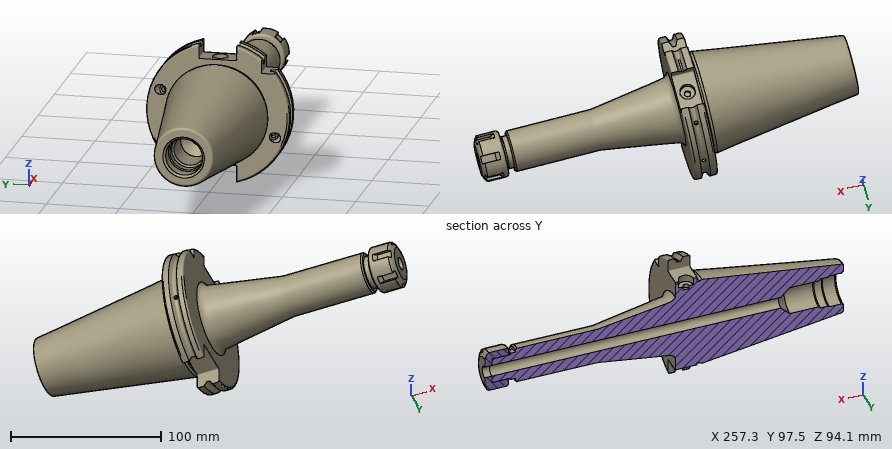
import cadquery as cq
import math


taper_length = 101.6
taper_large_radius = 35.0
taper_slope = 7 / 48
taper_small_radius = taper_large_radius - taper_slope * taper_length
taper_end_fillet = 1.8
relief_start = 103.5
relief_radius = 34.0
flange_start = 105.0
flange_end = 120.7
flange_radius = 97.5 / 2
flange_rim_fillet = 1.3

groove_center = 113.0
groove_width = 6.0
groove_floor_width = 2.3
groove_floor_radius = 45.5
groove_floor_fillet = 0.9

slot_width = 25.7
slot_corner_fillet = 0.8
upper_slot_floor = 37.5
lower_slot_floor = 35.3
notch_offset = 29.9
chip_hole_radius = 5.1
chip_hole_depth = 5.1
chip_pilot_radius = 2.0
chip_pilot_depth = 7.7
face_hole_radius = 3.3
face_hole_depth = 3.5
face_pilot_radius = 1.8
face_pilot_depth = 6.7
face_hole_offset = 41.7
face_hole_tilt = 30
face_hole_angles = (20, 200)
groove_hole_radius = 1.3
groove_hole_depth = 2.5
hole_run_out = 2.5
groove_hole_angles = (20, 60, 200)

neck_start = 125.0
neck_start_radius = 22.1
neck_root_radius = 25.5
shank_start = 176.5
shank_radius = 28.0 / 2
neck_blend_radius = 12.9
shank_end = 235.2
shank_chamfer = 1.0

collar_radius = 11.0
collar_end = 238.5
spigot_radius = 10.0
spigot_end = 252.2

through_radius = 8.5 / 2
mouth_radius = 14.2
counterbore_radius = 12.5
counterbore_depth = 10.3
thread_radius = 11.8
thread_start = 11.3
thread_end = 16.7
core_radius = 10.5
core_start = 18.0
core_depth = 38.5
drill_tip_length = 6.5

nut_start = 239.8
nut_end = 257.3
nut_radius = 31.7 / 2
nut_back_fillet = 2.0
nut_face_radius = 11.0
nut_shoulder_x = 255.8
nut_shoulder_radius = 14.5
nut_bevel_start = 254.5
nut_slot_count = 6
nut_slot_angle = 12
nut_slot_width = 5.1
nut_slot_floor_radius = 13.6
nut_slot_start = 243.5
nut_slot_ramp_end = 246.3

AXIS_START = (0, 0, 0)
AXIS_END = (1, 0, 0)


def revolve_about_x(profile):
    return profile.close().revolve(360, AXIS_START, AXIS_END)


def turned(points):
    """Solid of revolution about X from (x, radius) points."""
    return revolve_about_x(cq.Workplane("XZ").polyline(points))


def block(x_range, y_range, z_range):
    """Box given by its limits along each axis."""
    low, high = zip(x_range, y_range, z_range)
    size = [b - a for a, b in zip(low, high)]
    return cq.Workplane("XY").box(*size, centered=False).translate(low)


def turn(shape, angle):
    """Rotate about the X axis, from +Y toward +Z."""
    return shape.rotate(AXIS_START, AXIS_END, angle)


def stepped_hole(mouth, direction, steps):
    """Coaxial cylinders from (radius, depth) steps; they also reach out past the mouth."""
    outside = mouth - direction * hole_run_out
    hole = cq.Workplane()
    for radius, depth in steps:
        hole = hole.add(cq.Solid.makeCylinder(radius, depth + hole_run_out, outside, direction))
    return hole.combine()


def make_taper():
    taper = turned([
        (0, 0),
        (0, taper_small_radius),
        (taper_length, taper_large_radius),
        (relief_start, relief_radius),
        (flange_start, relief_radius),
        (flange_start, 0),
    ])
    return taper.faces("<X").edges().fillet(taper_end_fillet)


def make_flange():
    flange = turned([
        (flange_start, 0),
        (flange_start, flange_radius),
        (flange_end, flange_radius),
        (flange_end, 0),
    ])
    flange = flange.faces("<X or >X").edges().fillet(flange_rim_fillet)
    groove = turned([
        (groove_center - groove_width / 2, flange_radius),
        (groove_center - groove_floor_width / 2, groove_floor_radius),
        (groove_center + groove_floor_width / 2, groove_floor_radius),
        (groove_center + groove_width / 2, flange_radius),
    ])
    groove = groove.edges(cq.selectors.RadiusNthSelector(0)).fillet(groove_floor_fillet)
    flange = flange.cut(groove)

    across_flange = (flange_start, flange_end)
    across_slot = (-slot_width / 2, slot_width / 2)
    upper_slot = block(across_flange, across_slot, (upper_slot_floor, flange_radius))
    upper_slot = upper_slot.edges("|X").edges("<Z").fillet(slot_corner_fillet)
    lower_slot = block(across_flange, across_slot, (-flange_radius, -lower_slot_floor))
    lower_slot = lower_slot.edges("|X").edges(">Z").fillet(slot_corner_fillet)
    notch = block(across_flange, (-flange_radius, -notch_offset), (notch_offset, flange_radius))
    notch = notch.edges("|X").edges(">Y").edges("<Z").fillet(slot_corner_fillet)
    flange = flange.cut(upper_slot).cut(lower_slot).cut(notch)

    chip_hole = stepped_hole(
        cq.Vector(groove_center, 0, upper_slot_floor), cq.Vector(0, 0, -1),
        [(chip_hole_radius, chip_hole_depth), (chip_pilot_radius, chip_pilot_depth)],
    )
    flange = flange.cut(chip_hole)

    tilt = math.radians(face_hole_tilt)
    lean = cq.Vector(math.cos(tilt), -math.sin(tilt), 0)
    mouth = cq.Vector(flange_start, face_hole_offset, 0)
    face_hole = stepped_hole(
        mouth, lean,
        [(face_hole_radius, face_hole_depth), (face_pilot_radius, face_pilot_depth)],
    )
    for angle in face_hole_angles:
        flange = flange.cut(turn(face_hole, angle))

    groove_hole = stepped_hole(
        cq.Vector(groove_center, groove_floor_radius, 0), cq.Vector(0, -1, 0),
        [(groove_hole_radius, groove_hole_depth)],
    )
    for angle in groove_hole_angles:
        flange = flange.cut(turn(groove_hole, angle))
    return flange


def make_neck_and_shank():
    """Concave root, conical neck, cylindrical shank and stepped spigot."""
    profile = (
        cq.Workplane("XZ")
        .moveTo(spigot_end, 0)
        .lineTo(spigot_end, spigot_radius)
        .lineTo(collar_end, spigot_radius)
        .lineTo(collar_end, collar_radius)
        .lineTo(shank_end, collar_radius)
        .lineTo(shank_end, shank_radius - shank_chamfer)
        .lineTo(shank_end - shank_chamfer, shank_radius)
        .lineTo(shank_start, shank_radius)
        .lineTo(neck_start, neck_start_radius)
        .tangentArcPoint((flange_end, neck_root_radius), relative=False)
        .lineTo(flange_end, 0)
    )
    neck_to_shank_edge = cq.selectors.NearestToPointSelector((shank_start, 0, 0))
    return revolve_about_x(profile).edges(neck_to_shank_edge).fillet(neck_blend_radius)


def make_bore():
    """Drawbar thread bore with a drilled tip, continued by the coolant hole."""
    return turned([
        (0, 0),
        (0, mouth_radius),
        (mouth_radius - counterbore_radius, counterbore_radius),
        (counterbore_depth, counterbore_radius),
        (thread_start, thread_radius),
        (thread_end, thread_radius),
        (core_start, core_radius),
        (core_depth, core_radius),
        (core_depth + drill_tip_length, through_radius),
        (spigot_end, through_radius),
        (spigot_end, 0),
    ])


def make_holder():
    body = make_taper().union(make_flange()).union(make_neck_and_shank())
    return body.cut(make_bore())


def make_nut():
    nut = turned([
        (nut_start, 0),
        (nut_start, nut_radius),
        (nut_bevel_start, nut_radius),
        (nut_shoulder_x, nut_shoulder_radius),
        (nut_end, nut_face_radius),
        (nut_end, 0),
    ])
    nut = nut.faces("<X").edges().fillet(nut_back_fillet)

    slot = (
        cq.Workplane("XY")
        .moveTo(nut_slot_start, nut_radius)
        .lineTo(nut_slot_ramp_end, nut_slot_floor_radius)
        .lineTo(nut_end, nut_slot_floor_radius)
        .lineTo(nut_end, nut_radius)
        .close()
        .extrude(nut_slot_width / 2, both=True)
    )
    for index in range(nut_slot_count):
        nut = nut.cut(turn(slot, nut_slot_angle + index * 360 / nut_slot_count))

    socket = turned([
        (nut_start, 0),
        (nut_start, spigot_radius),
        (spigot_end, spigot_radius),
        (spigot_end, through_radius),
        (nut_end, through_radius),
        (nut_end, 0),
    ])
    return nut.cut(socket)


holder = make_holder()
nut = make_nut()
result = cq.Compound.makeCompound([holder.val(), nut.val()])